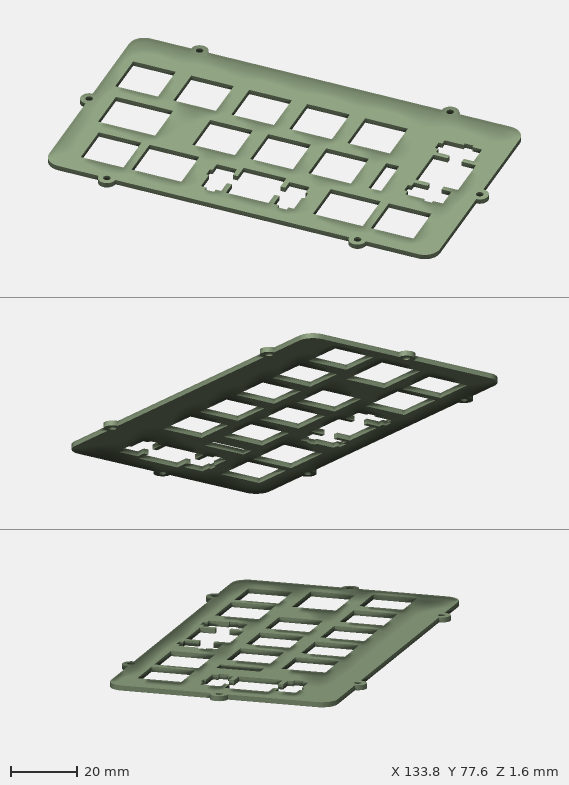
import cadquery as cq

thickness = 1.6
plate_length = 128.3
plate_width = 72.1
corner_radius = 5.0

ear_radius = 2.75
screw_hole_diameter = 2.3
left_ear_x = -43.1
right_ear_x = 39.2

key_pitch = 19.05
quarter_pitch = key_pitch / 4
switch_size = 14.0
middle_row_y = -3.05
top_row_y = middle_row_y + key_pitch
bottom_row_y = middle_row_y - key_pitch

top_row_count = 5
top_row_first_x = quarter_pitch - 3 * key_pitch

middle_row_xs = [-key_pitch, 0, key_pitch]
middle_wide_x = -2.5 * key_pitch
middle_wide_length = switch_size + quarter_pitch
slot_x = 33.9
slot_length = 4.2

bottom_single_x = 2.5 * key_pitch
bottom_wide_x = 1.5625 * key_pitch
bottom_wide_length = switch_size + quarter_pitch / 2

tall_key_x = 50.2
tall_key_y = (top_row_y + middle_row_y) / 2

stabilizer_offset = 11.938
housing_width = 6.65
housing_top = 5.53
housing_bottom = -6.77
foot_width = 3.0
foot_bottom = -7.97
wing_reach = 4.2
wing_top = 2.3
wing_bottom = -0.5
wire_channel_half_height = 2.3


def box_between(x_min, x_max, y_min, y_max):
    """Block through the full plate thickness between the given limits."""
    return (
        cq.Workplane("XY")
        .box(x_max - x_min, y_max - y_min, thickness, centered=False)
        .translate((x_min, y_min, 0))
    )


def key_cutout(x, y, length=switch_size):
    """Rectangular cutout, one switch high, centred at x, y."""
    half_length = length / 2
    half_height = switch_size / 2
    return box_between(x - half_length, x + half_length, y - half_height, y + half_height)


def stabilized_cutout():
    """Switch cutout at the origin joined to a stabilizer housing on each side."""
    half_housing = housing_width / 2
    half_foot = foot_width / 2
    cutout = key_cutout(0, 0)
    cutout = cutout.union(
        box_between(
            -stabilizer_offset, stabilizer_offset, -wire_channel_half_height, wire_channel_half_height
        )
    )
    housing = box_between(
        stabilizer_offset - half_housing, stabilizer_offset + half_housing, housing_bottom, housing_top
    )
    foot = box_between(
        stabilizer_offset - half_foot, stabilizer_offset + half_foot, foot_bottom, housing_top
    )
    wing = box_between(stabilizer_offset, stabilizer_offset + wing_reach, wing_bottom, wing_top)
    stabilizer = housing.union(foot).union(wing)
    return cutout.union(stabilizer).union(stabilizer.mirror("YZ"))


def plate_with_ears():
    """Rounded plate with six drilled ears around its edge."""
    half_length = plate_length / 2
    half_width = plate_width / 2
    ear_centres = [(-half_length, 0), (half_length, 0)]
    for x in (left_ear_x, right_ear_x):
        ear_centres += [(x, -half_width), (x, half_width)]

    plate = cq.Workplane("XY").rect(plate_length, plate_width).extrude(thickness)
    plate = plate.edges("|Z").fillet(corner_radius)
    ears = cq.Workplane("XY").pushPoints(ear_centres).circle(ear_radius).extrude(thickness)
    holes = (
        cq.Workplane("XY").pushPoints(ear_centres).circle(screw_hole_diameter / 2).extrude(thickness)
    )
    return plate.union(ears).cut(holes)


def all_cutouts():
    """Every key and stabilizer cutout in the plate."""
    cutouts = [key_cutout(top_row_first_x + i * key_pitch, top_row_y) for i in range(top_row_count)]

    cutouts += [key_cutout(x, middle_row_y) for x in middle_row_xs]
    cutouts.append(key_cutout(middle_wide_x, middle_row_y, middle_wide_length))
    cutouts.append(key_cutout(slot_x, middle_row_y, slot_length))

    for side in (-1, 1):
        cutouts.append(key_cutout(side * bottom_single_x, bottom_row_y))
        cutouts.append(key_cutout(side * bottom_wide_x, bottom_row_y, bottom_wide_length))

    space_key = stabilized_cutout().translate((0, bottom_row_y, 0))
    tall_key = (
        stabilized_cutout()
        .rotate((0, 0, 0), (0, 0, 1), -90)
        .translate((tall_key_x, tall_key_y, 0))
    )
    return cutouts + [space_key, tall_key]


result = plate_with_ears()
for cutout in all_cutouts():
    result = result.cut(cutout)